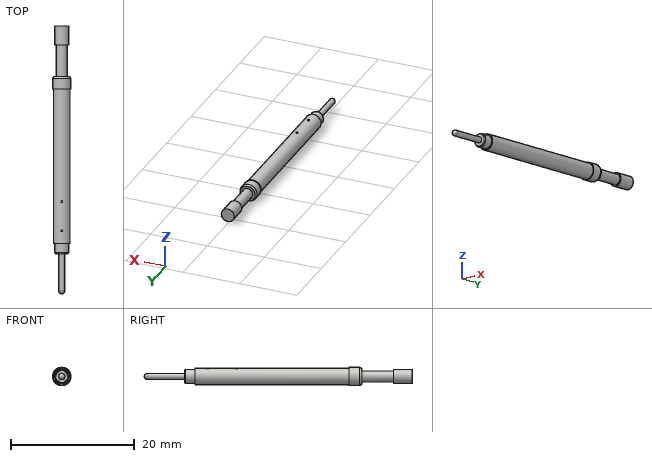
import cadquery as cq

TOTAL_LENGTH = 43.3
REAR_Y = TOTAL_LENGTH / 2
FRONT_Y = -TOTAL_LENGTH / 2

HEAD_DIAMETER = 2.3
NECK_DIAMETER = 1.8
COLLAR_DIAMETER = 3.0
BARREL_DIAMETER = 2.73
NOSE_DIAMETER = HEAD_DIAMETER
PIN_DIAMETER = 1.0

HEAD_LENGTH = 3.07
NECK_LENGTH = 5.05
COLLAR_LENGTH = 2.1
BARREL_LENGTH = 24.9
NOSE_LENGTH = 1.7

COLLAR_TAPER_LENGTH = 0.4
COLLAR_TAPER_DEPTH = 0.17
NOSE_CHAMFER_LENGTH = 0.2
NOSE_CHAMFER_DEPTH = 0.15

DIMPLE_DIAMETER = 0.3
DIMPLE_DEPTH = 0.15
DIMPLE_SPACING = 4.7
FRONT_DIMPLE_FROM_BARREL_END = 2.05

head_front_y = REAR_Y - HEAD_LENGTH
collar_rear_y = head_front_y - NECK_LENGTH
barrel_rear_y = collar_rear_y - COLLAR_LENGTH
nose_rear_y = barrel_rear_y - BARREL_LENGTH
pin_rear_y = nose_rear_y - NOSE_LENGTH
tip_center_y = FRONT_Y + PIN_DIAMETER / 2

collar_end_diameter = COLLAR_DIAMETER - 2 * COLLAR_TAPER_DEPTH
collar_taper_front_y = collar_rear_y - COLLAR_TAPER_LENGTH
nose_end_diameter = NOSE_DIAMETER - 2 * NOSE_CHAMFER_DEPTH
nose_chamfer_rear_y = pin_rear_y + NOSE_CHAMFER_LENGTH


def rod(diameter, rear_y, front_y):
    """Solid cylinder on the Y axis between two stations."""
    return cq.Workplane("XZ", origin=(0, rear_y, 0)).circle(diameter / 2).extrude(rear_y - front_y)


def cone(rear_diameter, front_diameter, rear_y, front_y):
    """Solid truncated cone on the Y axis between two stations."""
    return cq.Workplane(
        cq.Solid.makeCone(
            rear_diameter / 2,
            front_diameter / 2,
            rear_y - front_y,
            pnt=cq.Vector(0, rear_y, 0),
            dir=cq.Vector(0, -1, 0),
        )
    )


def dimple(y):
    """Round cutter that sinks into the top of the barrel."""
    floor_z = BARREL_DIAMETER / 2 - DIMPLE_DEPTH
    return (
        cq.Workplane("XY", origin=(0, y, floor_z))
        .circle(DIMPLE_DIAMETER / 2)
        .extrude(2 * DIMPLE_DEPTH)
    )


sections = [
    rod(HEAD_DIAMETER, REAR_Y, head_front_y),
    rod(NECK_DIAMETER, head_front_y, collar_rear_y),
    cone(collar_end_diameter, COLLAR_DIAMETER, collar_rear_y, collar_taper_front_y),
    rod(COLLAR_DIAMETER, collar_taper_front_y, barrel_rear_y),
    rod(BARREL_DIAMETER, barrel_rear_y, nose_rear_y),
    rod(NOSE_DIAMETER, nose_rear_y, nose_chamfer_rear_y),
    cone(NOSE_DIAMETER, nose_end_diameter, nose_chamfer_rear_y, pin_rear_y),
    rod(PIN_DIAMETER, pin_rear_y, tip_center_y),
]

tip = cq.Workplane("XY", origin=(0, tip_center_y, 0)).sphere(PIN_DIAMETER / 2)

body = tip
for section in sections:
    body = body.union(section)

front_dimple_y = nose_rear_y + FRONT_DIMPLE_FROM_BARREL_END
for dimple_y in (front_dimple_y, front_dimple_y + DIMPLE_SPACING):
    body = body.cut(dimple(dimple_y))

result = cq.Workplane(body.solids().val())